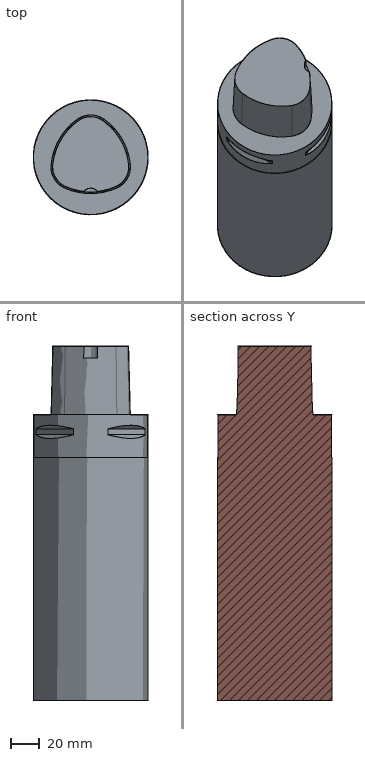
import cadquery as cq
import math

body_diameter = 80.4
body_length = 170.0
flange_diameter = 80.0
flange_length = 30.0

shank_length = 48.0
lobe_reach = 29.6
side_reach = 25.4
lobe_radius = 16.2
shank_draft = math.degrees(math.atan(1 / 40))
lobe_count = 3

notch_depth = 8.5
notch_floor_reach = 21.6
notch_radius = 6.0

groove_count = 4
groove_first_angle = 45.0
groove_drop = 12.0
groove_length = 37.0
groove_floor_width = 4.0
groove_flank_angle = 30.0

flange_face_z = body_length + flange_length
shank_end_z = flange_face_z + shank_length


def polar(radius, angle):
    a = math.radians(angle)
    return radius * math.cos(a), radius * math.sin(a)


def make_shank():
    """Outline of six tangent arcs, lobe and side in turn, drawn in with draft."""
    lobe_centre = lobe_reach - lobe_radius
    gap = side_reach - lobe_radius
    side_centre = (lobe_centre**2 - gap**2) / (2 * gap - lobe_centre)

    half_pitch = 180 / lobe_count
    along = lobe_centre + side_centre * math.cos(math.radians(half_pitch))
    across = side_centre * math.sin(math.radians(half_pitch))
    normal_x = along / math.hypot(along, across)
    normal_y = across / math.hypot(along, across)
    seam_x = lobe_centre + lobe_radius * normal_x
    seam_y = lobe_radius * normal_y
    seam_radius = math.hypot(seam_x, seam_y)
    seam_angle = math.degrees(math.atan2(seam_y, seam_x))

    first_lobe = 90.0
    outline = cq.Workplane("XY", origin=(0, 0, flange_face_z))
    outline = outline.moveTo(*polar(seam_radius, first_lobe - seam_angle))
    for i in range(lobe_count):
        lobe = first_lobe + i * 2 * half_pitch
        next_lobe = lobe + 2 * half_pitch
        outline = outline.threePointArc(
            polar(lobe_reach, lobe), polar(seam_radius, lobe + seam_angle)
        )
        outline = outline.threePointArc(
            polar(side_reach, lobe + half_pitch), polar(seam_radius, next_lobe - seam_angle)
        )
    return outline.close().extrude(shank_length, taper=shank_draft)


def make_notch():
    """Round-bottomed notch open to the -Y side and to the shank end."""
    centre_y = -(notch_floor_reach + notch_radius)
    return (
        cq.Workplane("XY", origin=(0, 0, shank_end_z - notch_depth))
        .center(0, centre_y)
        .circle(notch_radius)
        .extrude(notch_depth)
    )


def make_groove(angle):
    """Straight groove with a flat floor and sloping flanks, across the flange side."""
    flange_radius = flange_diameter / 2
    floor_reach = math.sqrt(flange_radius**2 - (groove_length / 2) ** 2)
    outer_reach = body_diameter / 2
    half_floor = groove_floor_width / 2
    half_mouth = half_floor + (outer_reach - floor_reach) * math.tan(math.radians(groove_flank_angle))
    return (
        cq.Workplane("XZ", origin=(0, 0, flange_face_z - groove_drop))
        .polyline([
            (floor_reach, -half_floor),
            (outer_reach, -half_mouth),
            (outer_reach, half_mouth),
            (floor_reach, half_floor),
        ])
        .close()
        .extrude(flange_radius, both=True)
        .rotate((0, 0, 0), (0, 0, 1), angle)
    )


body = cq.Workplane("XY").circle(body_diameter / 2).extrude(body_length)
flange = cq.Workplane("XY", origin=(0, 0, body_length)).circle(flange_diameter / 2).extrude(flange_length)
result = body.union(flange).union(make_shank()).cut(make_notch())
for i in range(groove_count):
    result = result.cut(make_groove(groove_first_angle + i * 360 / groove_count))